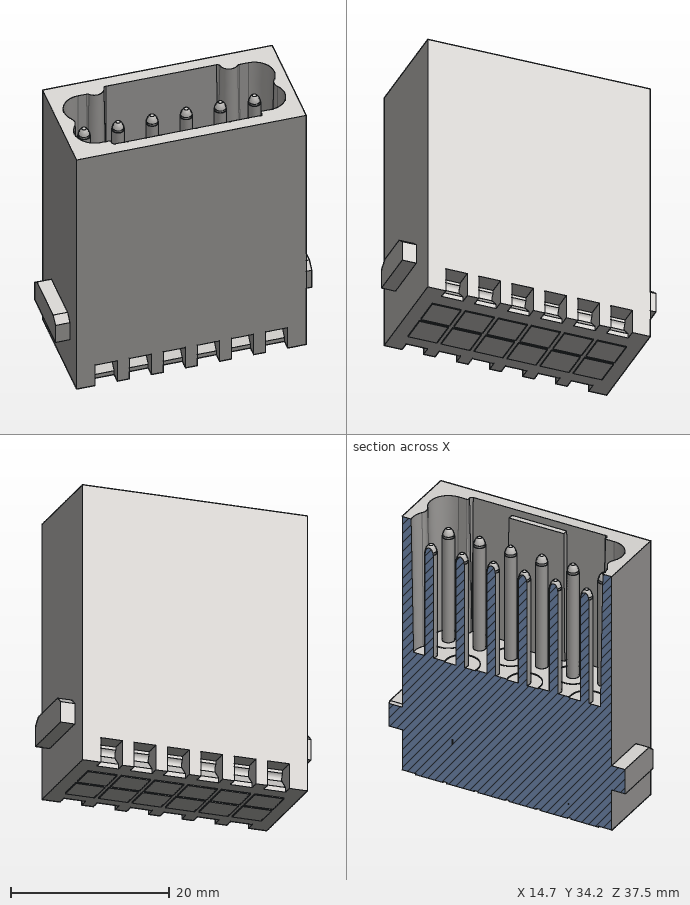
import cadquery as cq
import math

overall_height = 37.55
body_width = 14.65
body_length = 30.4
pad_height = 0.15

contact_pitch = 4.5
row_count = 6
column_x = contact_pitch / 2
end_row_y = contact_pitch * (row_count - 1) / 2
row_positions = [-end_row_y + contact_pitch * i for i in range(row_count)]

pocket_depth = 19.53
pocket_draft = 1.0
floor_z = overall_height - pocket_depth
pocket_half_width = 5.35
lobe_diameter = 4.6
lobe_radius = lobe_diameter / 2
bump_diameter = 3.2
bump_radius = bump_diameter / 2
side_bump_x = -5.6
side_bump_y = 8.9
shoulder_y = 9.58
shoulder_radius = 0.45
outline_plate_thickness = 0.38

rib_top_drop = 0.98
rib_face_x = 4.6
rib_width = 8.55

recess_depth = 0.1

pin_diameter = 1.6
pin_neck_diameter = 1.5
pin_tip_diameter = 0.55
pin_tip_drop = 3.25
pin_nose_length = 0.85
pin_neck_length = 0.3
pin_nose_bulge = 0.055
pin_embed = 0.38

front_lug_width = 9.0
back_lug_width = 7.0
lug_projection = 1.9
lug_bottom_z = 6.05
lug_height = 3.65
lug_chamfer_width = 1.05
lug_chamfer_height = 0.85

window_width = 2.93
window_height = 3.35
window_sill_depth = 1.4
window_sill_height = 0.65
window_ramp_rise = 1.3
window_back_height = 0.55
window_hood_height = 2.93
window_hood_depth = 2.4

pad_width_x = 3.83
pad_width_y = 3.95
pad_pitch_x = 4.3


def block(x_min, x_max, y_min, y_max, z_min, z_max):
    """Axis-aligned box between the given limits."""
    size = (x_max - x_min, y_max - y_min, z_max - z_min)
    return cq.Workplane("XY").box(*size, centered=False).translate((x_min, y_min, z_min))


def disc(x, y, radius, z_min, z_max):
    """Upright cylinder."""
    return cq.Workplane("XY", origin=(x, y, z_min)).circle(radius).extrude(z_max - z_min)


def pocket_floor_plate():
    """Thin plate on the pocket floor that has the pocket's floor outline."""
    z_range = (floor_z, floor_z + outline_plate_thickness)
    lobe_side = column_x + lobe_radius
    plate = block(-lobe_side, lobe_side, -end_row_y, end_row_y, *z_range)
    plate = plate.union(block(0, pocket_half_width, -shoulder_y, shoulder_y, *z_range))
    plate = plate.union(block(-pocket_half_width, 0, -side_bump_y, side_bump_y, *z_range))

    waist_y = end_row_y + math.sqrt((lobe_radius + bump_radius) ** 2 - column_x**2)
    for side in (-1, 1):
        for x in (-column_x, column_x):
            plate = plate.union(disc(x, side * end_row_y, lobe_radius, *z_range))
        web_corners = [(-column_x, side * end_row_y), (column_x, side * end_row_y), (0, side * waist_y)]
        web = cq.Workplane("XY", origin=(0, 0, floor_z)).polyline(web_corners).close()
        plate = plate.union(web.extrude(outline_plate_thickness))
        plate = plate.cut(disc(0, side * waist_y, bump_radius, *z_range))
        plate = plate.cut(disc(side_bump_x, side * side_bump_y, bump_radius, *z_range))

    plate = plate.clean()
    for side in (-1, 1):
        shoulder_point = (lobe_side, side * shoulder_y, floor_z + outline_plate_thickness / 2)
        shoulder = cq.selectors.NearestToPointSelector(shoulder_point)
        plate = plate.edges("|Z").edges(shoulder).fillet(shoulder_radius)
    return plate


def floor_recess(row, y, floor_plate):
    """Round recess of one row; in the end rows it runs square into the nearby corner."""
    last_row = row_count - 1
    x = column_x if (last_row - row) % 2 == 0 else -column_x
    z_range = (floor_z - recess_depth, floor_z)
    recess = disc(x, y, lobe_radius, *z_range)
    if row == last_row:
        recess = recess.union(block(x - lobe_radius, x + lobe_radius, y, y + lobe_radius, *z_range))
    if row == 0:
        recess = recess.union(block(x - lobe_radius, x + lobe_radius, y - lobe_radius, y, *z_range))
        recess = recess.union(block(x - lobe_radius, x, y, y + lobe_radius, *z_range))
    return recess.intersect(floor_plate.translate((0, 0, -recess_depth)))


def polarising_rib():
    """Drafted rib that stands out from the +X pocket wall and stops below the rim."""
    rib_reach = body_width / 2 - rib_face_x
    return (
        cq.Workplane("XY", origin=(rib_face_x + rib_reach / 2, 0, floor_z))
        .rect(rib_reach, rib_width)
        .extrude(pocket_depth - rib_top_drop, taper=pocket_draft)
    )


def contact_pin():
    """Pin on the Z axis with a rounded nose, a short neck and a wider shank."""
    tip_z = overall_height - pin_tip_drop
    neck_z = tip_z - pin_nose_length
    shank_z = neck_z - pin_neck_length
    tip_radius = pin_tip_diameter / 2
    neck_radius = pin_neck_diameter / 2
    nose_middle = (
        (tip_radius + neck_radius) / 2 + pin_nose_bulge,
        (tip_z + neck_z) / 2 + pin_nose_bulge,
    )
    return (
        cq.Workplane("XZ")
        .moveTo(0, floor_z - pin_embed)
        .lineTo(pin_diameter / 2, floor_z - pin_embed)
        .lineTo(pin_diameter / 2, shank_z)
        .lineTo(neck_radius, shank_z)
        .lineTo(neck_radius, neck_z)
        .threePointArc(nose_middle, (tip_radius, tip_z))
        .lineTo(0, tip_z)
        .close()
        .revolve(360, (0, 0), (0, 1))
    )


def lug(width, side):
    """Latching lug on the -Y (side = -1) or +Y (side = 1) end, with chamfered top corners."""
    half = width / 2
    top_z = lug_bottom_z + lug_height
    corners = [
        (-half, lug_bottom_z),
        (half, lug_bottom_z),
        (half, top_z - lug_chamfer_height),
        (half - lug_chamfer_width, top_z),
        (lug_chamfer_width - half, top_z),
        (-half, top_z - lug_chamfer_height),
    ]
    end_y = side * body_length / 2
    return (
        cq.Workplane("XZ", origin=(0, end_y, 0))
        .polyline(corners)
        .close()
        .extrude(-side * lug_projection)
    )


def terminal_window(y):
    """Cutter for one window in the -X side: sill, ramp, back wall and curved hood."""
    face_x = -body_width / 2
    sill_x = face_x + window_sill_depth
    back_x = sill_x + window_ramp_rise
    hood_x = face_x + window_hood_depth
    sill_z = pad_height + window_sill_height
    ramp_top_z = sill_z + window_ramp_rise
    hood_z = pad_height + window_hood_height
    top_z = pad_height + window_height
    return (
        cq.Workplane("XZ", origin=(0, y + window_width / 2, 0))
        .moveTo(face_x, pad_height)
        .lineTo(sill_x, pad_height)
        .lineTo(sill_x, sill_z)
        .lineTo(back_x, ramp_top_z)
        .threePointArc((back_x, ramp_top_z + window_back_height), (hood_x, hood_z))
        .lineTo(hood_x, top_z)
        .lineTo(face_x, top_z)
        .close()
        .extrude(window_width)
    )


half_width = body_width / 2
half_length = body_length / 2
result = block(-half_width, half_width, -half_length, half_length, pad_height, overall_height)
result = result.union(lug(front_lug_width, -1)).union(lug(back_lug_width, 1))

floor_plate = pocket_floor_plate()
floor_outline = floor_plate.faces("<Z").wires()
pocket = floor_outline.toPending().extrude(pocket_depth, taper=-pocket_draft)
result = result.cut(pocket.cut(polarising_rib()))

pin = contact_pin()
pad = cq.Workplane("XY").box(pad_width_x, pad_width_y, 2 * pad_height)
for row, y in enumerate(row_positions):
    result = result.cut(floor_recess(row, y, floor_plate))
    window = terminal_window(y)
    result = result.cut(window).cut(window.mirror("YZ"))
    for side in (-1, 1):
        result = result.union(pin.translate((side * column_x, y, 0)))
        result = result.union(pad.translate((side * pad_pitch_x / 2, y, pad_height)))